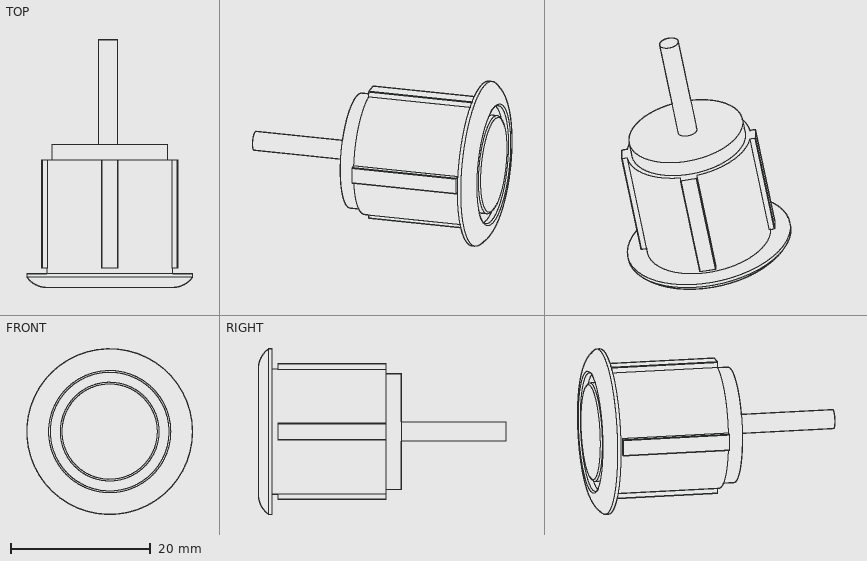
import cadquery as cq

RIM_EDGE_Y = 1.5
FLANGE_BACK_Y = 2.0
RIB_START_Y = 2.8
BODY_END_Y = 18.3
COLLAR_END_Y = 20.5
CABLE_END_Y = 35.5

FLANGE_DIAMETER = 23.75
FRONT_FLAT_DIAMETER = 18.0
BODY_DIAMETER = 18.0
COLLAR_DIAMETER = 16.6
CABLE_DIAMETER = 2.75
GROOVE_OUTER_DIAMETER = 17.0
BUTTON_DIAMETER = 14.15

CABLE_OFFSET_X = -0.25

GROOVE_DEPTH = 1.0
EDGE_CHAMFER = 0.25

RIB_COUNT = 4
RIB_SPAN = 19.5
RIB_WIDTH = 2.4
RIB_CHAMFER = 0.1


def cylinder(diameter, start_y, end_y, center_x=0):
    """Cylinder parallel to the Y axis between two Y positions."""
    plane = cq.Workplane("XZ", origin=(center_x, start_y, 0))
    return plane.circle(diameter / 2).extrude(start_y - end_y)


def make_flange():
    """Flange whose front is an arc that runs tangent into the flat front face."""
    rim_radius = FLANGE_DIAMETER / 2
    flat_radius = FRONT_FLAT_DIAMETER / 2
    profile = (
        cq.Workplane("XY")
        .lineTo(flat_radius, 0)
        .tangentArcPoint((rim_radius, RIM_EDGE_Y), relative=False)
        .lineTo(rim_radius, FLANGE_BACK_Y)
        .lineTo(0, FLANGE_BACK_Y)
        .close()
    )
    return profile.revolve(360, (0, 0, 0), (0, 1, 0))


def make_groove():
    """Ring cut around the button, with both of its front edges chamfered."""
    inner_radius = BUTTON_DIAMETER / 2
    outer_radius = GROOVE_OUTER_DIAMETER / 2
    profile = cq.Workplane("XY").polyline([
        (inner_radius - EDGE_CHAMFER, 0),
        (inner_radius, EDGE_CHAMFER),
        (inner_radius, GROOVE_DEPTH),
        (outer_radius, GROOVE_DEPTH),
        (outer_radius, EDGE_CHAMFER),
        (outer_radius + EDGE_CHAMFER, 0),
    ]).close()
    return profile.revolve(360, (0, 0, 0), (0, 1, 0))


def make_rib(angle):
    """Flat-topped bar reaching from the axis to the rib top, turned about Y."""
    rib = cq.Workplane("XY").box(
        RIB_SPAN / 2, BODY_END_Y - RIB_START_Y, RIB_WIDTH, centered=(False, False, True)
    )
    rib = rib.faces(">X").edges("|Y").chamfer(RIB_CHAMFER)
    return rib.translate((0, RIB_START_Y, 0)).rotate((0, 0, 0), (0, 1, 0), angle)


result = make_flange()
result = result.union(cylinder(BODY_DIAMETER, RIM_EDGE_Y, BODY_END_Y))
for index in range(RIB_COUNT):
    result = result.union(make_rib(index * 360 / RIB_COUNT))
result = result.union(cylinder(COLLAR_DIAMETER, RIB_START_Y, COLLAR_END_Y))
result = result.union(cylinder(CABLE_DIAMETER, RIB_START_Y, CABLE_END_Y, CABLE_OFFSET_X))
result = result.cut(make_groove())